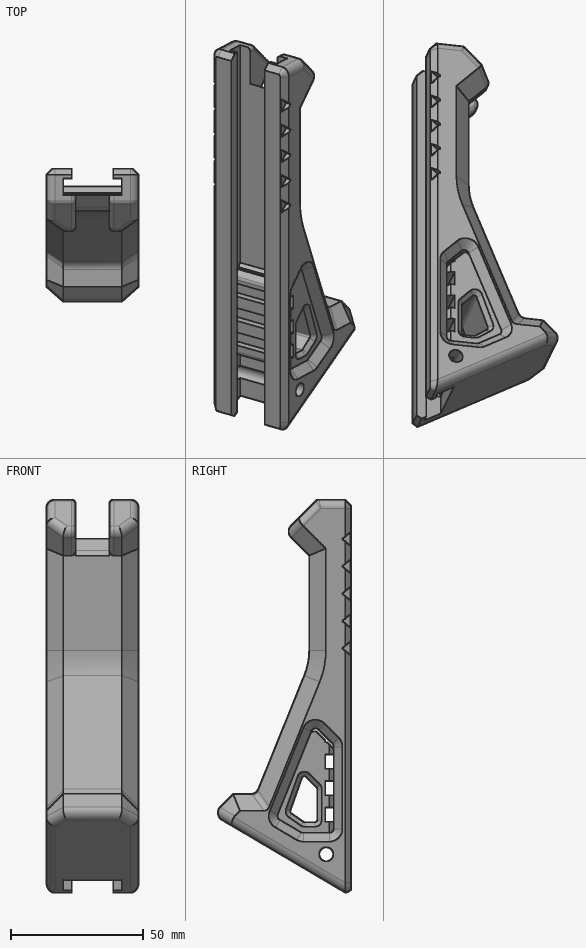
import cadquery as cq
import math


GRIP_WIDTH = 34.92
GRIP_HEIGHT = 148.66
HALF_WIDTH = GRIP_WIDTH / 2

PANEL_DEPTH = 15.9
PANEL_TOP = 127.5
PANEL_BOTTOM = 91.7
SLOPE_ANGLE = 22.0
BEND_RADIUS = 25.4
LEDGE_HEIGHT = 37.4
LEDGE_END_DEPTH = 44.63
FOOT_RADIUS = 3.2
BASE_ANGLE = 30.5
ARM_TOP_DEPTH = 12.9

FRONT_CHAMFER = 6.35
OUTER_FILLET = 3.2
BACK_CHAMFER = 2.3
ARM_FILLET = 1.59

CHANNEL_HALF_WIDTH = 10.98
LIP_HALF_GAP = 7.8
LIP_DEPTH = 3.75
CHANNEL_DEPTH = 10.1
ARM_HALF_GAP = 6.35
GAP_FLOOR_TOP = 133.9
GAP_BEND_DEPTH = 14.5
GAP_OVERLAP = 3.0

NOTCH_COUNT = 5
NOTCH_PITCH = 10.33
NOTCH_TOP = 133.75
NOTCH_TIP_DEPTH = 3.4
NOTCH_HALF_HEIGHT = 2.8
NOTCH_FLOOR = 2.05

PIN_HOLE_DIAMETER = 5.21
PIN_HOLE_DEPTH = 9.4
PIN_HOLE_HEIGHT = 14.6

WINDOW_BACK_DEPTH = 6.6
WINDOW_BOTTOM = 22.7
WINDOW_BASE_DEPTH = 18.6
WINDOW_APEX_DEPTH = 14.1
WINDOW_APEX_HEIGHT = 63.4
WINDOW_CORNER_RADIUS = 1.6
WINDOW_BEVEL = 3.3

INSERT_HALF_WIDTH = HALF_WIDTH - WINDOW_BEVEL
INSERT_TOP_GAP = 1.0
TOOTH_SLOT_WIDTH = 5.3
TOOTH_SLOT_PITCH = 10.0
TOOTH_SLOT_COUNT = 4
TOOTH_SLOT_BOTTOM_DEPTH = 9.7
FIRST_TOOTH_SLOT = 29.6
TOOTH_CHAMFER = 1.59

OPENING_BACK_DEPTH = 12.85
OPENING_BOTTOM = 26.75
OPENING_BASE_DEPTH = 17.8
OPENING_BASE_ANGLE = 35.0
OPENING_SLOPE_DEPTH = 22.4
OPENING_SLOPE_HEIGHT = 32.66
OPENING_SLOPE_ANGLE = 19.5
OPENING_SHOULDER_HEIGHT = 39.6
OPENING_CORNER_RADIUS = 0.9
OPENING_BEVEL = 1.75

CLEARANCE = 5.0
TOLERANCE = 0.05


def tan_deg(angle):
    return math.tan(math.radians(angle))


def at(depth, height):
    """Sketch point on the YZ plane."""
    return (-depth, height)


def meet(point_a, angle_a, point_b, angle_b):
    """Crossing of two lines in (depth, height), each given by a point and its angle from the depth axis."""
    slope_a = tan_deg(angle_a)
    slope_b = tan_deg(angle_b)
    offset_a = point_a[1] - slope_a * point_a[0]
    offset_b = point_b[1] - slope_b * point_b[0]
    depth = (offset_b - offset_a) / (slope_a - slope_b)
    return (depth, offset_a + slope_a * depth)


def prism(points, half_width):
    """Straight prism across X, symmetric about the middle, from (depth, height) points."""
    outline = [at(depth, height) for depth, height in points]
    return cq.Workplane("YZ").polyline(outline).close().extrude(half_width, both=True)


SLOPE_LINE_ANGLE = SLOPE_ANGLE - 90
RISING = 45
FALLING = -45
LEVEL = 0

base_lowest_depth = BACK_CHAMFER * math.cos(math.radians(BASE_ANGLE))
base_lowest = (base_lowest_depth, 0.0)
base_back = (0.0, -base_lowest_depth * tan_deg(BASE_ANGLE))
ledge_end = (LEDGE_END_DEPTH, LEDGE_HEIGHT)
nose = meet(base_lowest, BASE_ANGLE, ledge_end, FALLING)
arm_top = (ARM_TOP_DEPTH, GRIP_HEIGHT)
panel_top = (PANEL_DEPTH, PANEL_TOP)
arm_tip = meet(arm_top, FALLING, panel_top, RISING)

slope_radians = math.radians(SLOPE_ANGLE)
bend_end = (
    PANEL_DEPTH + BEND_RADIUS * (1 - math.cos(slope_radians)),
    PANEL_BOTTOM - BEND_RADIUS * math.sin(slope_radians),
)
bend_middle = (
    PANEL_DEPTH + BEND_RADIUS * (1 - math.cos(slope_radians / 2)),
    PANEL_BOTTOM - BEND_RADIUS * math.sin(slope_radians / 2),
)
slope_side = (
    bend_end[0] - FRONT_CHAMFER * math.cos(slope_radians),
    bend_end[1] - FRONT_CHAMFER * math.sin(slope_radians),
)
foot = meet(bend_end, SLOPE_LINE_ANGLE, ledge_end, LEVEL)

window_base = (WINDOW_BASE_DEPTH, WINDOW_BOTTOM)
window_apex = (WINDOW_APEX_DEPTH, WINDOW_APEX_HEIGHT)
window_heel = meet(window_base, BASE_ANGLE, window_apex, SLOPE_LINE_ANGLE)


def window_corners(apex):
    """Corners of the window outline whose sloping top runs down from the apex at 45 degrees."""
    shoulder_height = apex[1] - (apex[0] - WINDOW_BACK_DEPTH)
    return [
        (WINDOW_BACK_DEPTH, WINDOW_BOTTOM),
        window_base,
        window_heel,
        apex,
        (WINDOW_BACK_DEPTH, shoulder_height),
    ]


def on_line(center, point, angle):
    """Whether a centre lies on the plane across X through a (depth, height) point at an angle."""
    rise = (-center.y - point[0]) * tan_deg(angle)
    return abs(center.z - point[1] - rise) < TOLERANCE


def on_top(center):
    return abs(center.z - GRIP_HEIGHT) < TOLERANCE


def on_back(center):
    return abs(center.y) < TOLERANCE


def bevelled_opening(points, corner_radius, half_width, bevel):
    """Through cutter with rounded corners, flared at 45 degrees to reach both ends at half_width."""
    straight = prism(points, half_width - bevel).edges("|X").fillet(corner_radius)
    end_wire = straight.faces(">X").wires()
    flare = end_wire.toPending().workplane().extrude(bevel, taper=-45, combine=False)
    return straight.union(flare).union(flare.mirror("YZ"))


def grip_blank():
    """Full-width side outline without edge treatment."""
    outline = (
        cq.Workplane("YZ")
        .moveTo(*at(*base_back))
        .lineTo(*at(0, GRIP_HEIGHT))
        .lineTo(*at(*arm_top))
        .lineTo(*at(*arm_tip))
        .lineTo(*at(*panel_top))
        .lineTo(*at(PANEL_DEPTH, PANEL_BOTTOM))
        .threePointArc(at(*bend_middle), at(*bend_end))
        .lineTo(*at(*foot))
        .lineTo(*at(*ledge_end))
        .lineTo(*at(*nose))
        .close()
    )
    return outline.extrude(HALF_WIDTH, both=True)


def is_front_edge(edge):
    center = edge.Center()
    on_arm_front = on_line(center, arm_top, FALLING)
    on_base = on_line(center, base_lowest, BASE_ANGLE)
    return not (on_back(center) or on_top(center) or on_arm_front or on_base)


def chamfer_front(grip):
    """Broad chamfers along the front, then the rounded foot where the slope meets the ledge."""
    grip = grip.faces("<X or >X").edges().filter(is_front_edge).chamfer(FRONT_CHAMFER)
    foot_side = meet(slope_side, SLOPE_LINE_ANGLE, (0.0, LEDGE_HEIGHT - FRONT_CHAMFER), LEVEL)
    mid_depth = (foot[0] + foot_side[0]) / 2
    mid_height = (foot[1] + foot_side[1]) / 2
    mid_x = HALF_WIDTH - FRONT_CHAMFER / 2
    foot_points = [(0, -foot[0], foot[1])]
    foot_points += [(side * mid_x, -mid_depth, mid_height) for side in (-1, 1)]

    def is_foot_edge(edge):
        center = edge.Center()
        return any((center - cq.Vector(*point)).Length < TOLERANCE for point in foot_points)

    return grip.edges().filter(is_foot_edge).fillet(FOOT_RADIUS)


def round_outer_edges(grip):
    """Rounds the base, the arm fronts and the top, then chamfers the back and eases the top corner."""
    base = grip.faces().filter(lambda face: on_line(face.Center(), base_lowest, BASE_ANGLE))
    grip = base.edges().filter(lambda edge: not on_back(edge.Center())).fillet(OUTER_FILLET)

    def is_crown_edge(edge):
        center = edge.Center()
        is_middle_edge = on_top(center) and abs(center.x) < TOLERANCE
        return (on_top(center) or on_line(center, arm_top, FALLING)) and not is_middle_edge

    grip = grip.edges().filter(is_crown_edge).fillet(OUTER_FILLET)
    grip = grip.faces(">Y").edges().chamfer(BACK_CHAMFER)

    def is_top_corner(edge):
        center = edge.Center()
        return on_top(center) and abs(center.y + ARM_TOP_DEPTH) < TOLERANCE

    return grip.edges().filter(is_top_corner).fillet(ARM_FILLET)


def split_arms(grip):
    """Opens the gap between the two arms, rounds their inner edges and builds the gap's sloping floor."""
    start_depth = CHANNEL_DEPTH - GAP_OVERLAP
    far_depth = arm_tip[0] + CLEARANCE
    low_height = PANEL_TOP - CLEARANCE
    high_height = GRIP_HEIGHT + CLEARANCE
    gap_corners = [
        (start_depth, low_height),
        (far_depth, low_height),
        (far_depth, high_height),
        (start_depth, high_height),
    ]
    grip = grip.cut(prism(gap_corners, ARM_HALF_GAP))

    def is_inner_arm_edge(edge):
        center = edge.Center()
        on_gap_wall = abs(abs(center.x) - ARM_HALF_GAP) < TOLERANCE
        past_start = -center.y > start_depth + TOLERANCE
        return on_gap_wall and past_start and center.z > PANEL_TOP

    grip = grip.edges().filter(is_inner_arm_edge).fillet(ARM_FILLET)

    floor = (
        cq.Workplane("YZ")
        .moveTo(*at(start_depth, low_height))
        .lineTo(*at(start_depth, GAP_FLOOR_TOP + GAP_OVERLAP))
        .lineTo(*at(GAP_BEND_DEPTH, GAP_FLOOR_TOP + CHANNEL_DEPTH - GAP_BEND_DEPTH))
        .tangentArcPoint(at(*panel_top), relative=False)
        .lineTo(*at(PANEL_DEPTH, low_height))
        .close()
        .extrude(ARM_HALF_GAP, both=True)
    )
    return grip.union(floor)


def rail_channel():
    """T-shaped channel cutter, longer than the grip at both ends."""
    length = 2 * GRIP_HEIGHT
    mouth = cq.Workplane("XY").rect(2 * LIP_HALF_GAP, 2 * CHANNEL_DEPTH).extrude(length, both=True)
    head_depth = CHANNEL_DEPTH - LIP_DEPTH
    head = (
        cq.Workplane("XY")
        .center(0, -(CHANNEL_DEPTH + LIP_DEPTH) / 2)
        .rect(2 * CHANNEL_HALF_WIDTH, head_depth)
        .extrude(length, both=True)
    )
    return mouth.union(head)


def cut_side_notches(grip):
    """Triangular pockets cut into the back edge of both sides, leaving the middle solid."""
    for index in range(NOTCH_COUNT):
        height = NOTCH_TOP - index * NOTCH_PITCH
        corners = [
            (0, height - NOTCH_HALF_HEIGHT),
            (NOTCH_TIP_DEPTH, height),
            (0, height + NOTCH_HALF_HEIGHT),
        ]
        middle = prism(corners, HALF_WIDTH - NOTCH_FLOOR)
        grip = grip.cut(prism(corners, HALF_WIDTH).cut(middle))
    return grip


def window_cutter():
    corners = window_corners(window_apex)
    return bevelled_opening(corners, WINDOW_CORNER_RADIUS, HALF_WIDTH, WINDOW_BEVEL)


def make_grip():
    grip = split_arms(round_outer_edges(chamfer_front(grip_blank())))
    grip = cut_side_notches(grip.cut(rail_channel()))
    pin_hole = (
        cq.Workplane("YZ")
        .center(*at(PIN_HOLE_DEPTH, PIN_HOLE_HEIGHT))
        .circle(PIN_HOLE_DIAMETER / 2)
        .extrude(GRIP_WIDTH, both=True)
    )
    return grip.cut(pin_hole).cut(window_cutter())


def insert_opening():
    base = (OPENING_BASE_DEPTH, OPENING_BOTTOM)
    shoulder = (OPENING_BACK_DEPTH, OPENING_SHOULDER_HEIGHT)
    slope = (OPENING_SLOPE_DEPTH, OPENING_SLOPE_HEIGHT)
    slope_angle = OPENING_SLOPE_ANGLE - 90
    corners = [
        (OPENING_BACK_DEPTH, OPENING_BOTTOM),
        base,
        meet(base, OPENING_BASE_ANGLE, slope, slope_angle),
        meet(shoulder, RISING, slope, slope_angle),
        shoulder,
    ]
    return bevelled_opening(corners, OPENING_CORNER_RADIUS, INSERT_HALF_WIDTH, OPENING_BEVEL)


def insert_plan():
    """Insert seen along Z, with chamfered corners on the toothed side, taller than the insert."""
    chamfer_depth = WINDOW_BACK_DEPTH + TOOTH_CHAMFER
    tooth_half_width = INSERT_HALF_WIDTH - TOOTH_CHAMFER
    right_side = [
        (tooth_half_width, -WINDOW_BACK_DEPTH),
        (INSERT_HALF_WIDTH, -chamfer_depth),
        (INSERT_HALF_WIDTH, -window_heel[0]),
    ]
    left_side = [(-x, y) for x, y in reversed(right_side)]
    return cq.Workplane("XY").polyline(right_side + left_side).close().extrude(GRIP_HEIGHT)


def make_insert():
    lowered_apex = (WINDOW_APEX_DEPTH, WINDOW_APEX_HEIGHT - INSERT_TOP_GAP * math.sqrt(2))
    insert_apex = meet(lowered_apex, RISING, window_apex, SLOPE_LINE_ANGLE)
    corners = window_corners(insert_apex)
    insert = prism(corners, INSERT_HALF_WIDTH).edges("|X").fillet(WINDOW_CORNER_RADIUS)
    insert = insert.intersect(insert_plan())
    slot_depth = TOOTH_SLOT_BOTTOM_DEPTH - WINDOW_BACK_DEPTH
    for index in range(TOOTH_SLOT_COUNT):
        slot = cq.Workplane("XY").box(GRIP_WIDTH, 2 * slot_depth, TOOTH_SLOT_WIDTH)
        height = FIRST_TOOTH_SLOT + index * TOOTH_SLOT_PITCH
        insert = insert.cut(slot.translate((0, -WINDOW_BACK_DEPTH, height)))
    return insert.cut(insert_opening())


grip = make_grip()
insert = make_insert()
result = cq.Compound.makeCompound([grip.solids().val(), insert.solids().val()])